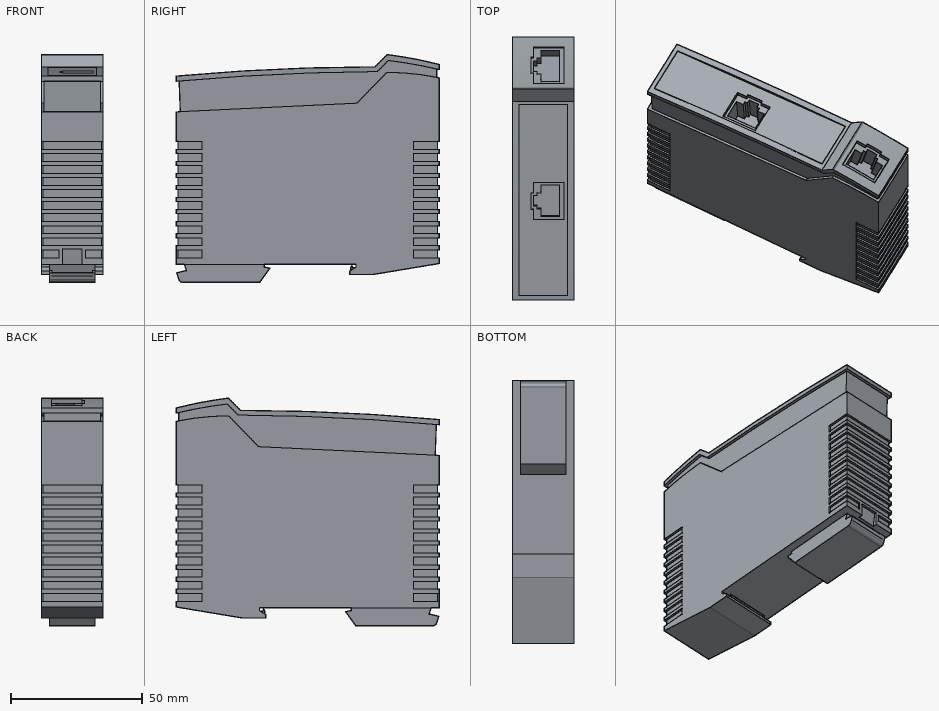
import cadquery as cq
import math

length = 100.3
width = 23.6
height = 86.7
front = -length / 2
rear = length / 2

housing_bottom = 6.8
shoulder_front = 64.9
bend = (18.8, 68.2)
crest = (30.1, 79.9)
shoulder_rear = 77.8
belly_start = 7.1
hook_start = 24.9
hook_bottom = 2.9
hook_face = (15.9, 4.2)
hook_tip = (16.9, 6.5)
hook_neck_front = 16.3
hook_neck_rear = 17.1
hook_neck_bottom = 4.6
hook_neck_top = 5.6
notch_floor = (18.4, 5.8)

cover_inset = 1.0
cover_front_top = -49.0
cover_front_bottom = -48.5
peak_front = (30.2, height)
peak_rear = (30.7, height)
valley = (25.6, 82.0)
lip_front = 78.5
lip_rear = 82.9
lip_thickness = 2.0
lip_peak_under = (30.7, 84.5)
lip_valley_under = (26.5, 80.2)
lip_sag = 0.3
roof_run = valley[0] - front
roof_drop = valley[1] - lip_front
roof_radius = (roof_run**2 + roof_drop**2) / (2 * roof_drop)

label_width = 18.6
label_rear = 24.3
label_front = -48.4
label_end_depth = 0.3

groove_count = 10
groove_height = 3.0
groove_depth = 0.7
groove_run = 9.8
groove_first_top = 53.7
groove_last_top = 12.3
groove_pitch = (groove_first_top - groove_last_top) / (groove_count - 1)
bridge_width = 10.0

foot_width = 17.4
foot_heel = (-16.5, 5.8)
foot_claw = (-14.3, 5.4)
foot_bottom_rear = -18.3
foot_bottom_front = -48.7
foot_bottom_radius = 1.6
latch_root = (-46.2, 4.5)
latch_top = (-47.0, housing_bottom)
tongue_tip = (-49.9, 3.6)
tongue_wall = 1.0
tongue_lip = 0.8
tongue_floor_front = 2.4
tongue_floor_back = 3.3
slot_width = 7.4
slot_top = 12.6
slot_depth_top = 0.8
slot_depth_bottom = 1.6

socket_x = 2.1
socket_width = 11.6
socket_length = 14.0
socket_depth = 1.8
tab_width = 1.0
tab_length = 6.2
cavity_depth = 12.5
cavity_left = -0.9
cavity_right = 6.1
cavity_half = 6.0
key_left = -3.7
key_half = 2.0
key_step_left = -2.3
key_step_half = 3.1
rear_socket_y = 39.3
front_socket_y = -12.4


def side_sketch():
    """Workplane whose local x is Y and local y is Z, on the middle plane."""
    return cq.Workplane("YZ")


def block(x_range, y_range, z_range):
    """Axis-aligned box between pairs of limits."""
    sizes = [limits[1] - limits[0] for limits in (x_range, y_range, z_range)]
    return cq.Workplane("XY").box(*sizes, centered=False).translate((x_range[0], y_range[0], z_range[0]))


def roof_point(y, drop=0.0):
    """Point on the long roof arc, level where the arc leaves the valley."""
    fall = roof_radius - math.sqrt(roof_radius**2 - (valley[0] - y) ** 2)
    return (y, valley[1] - fall - drop)


def bulged_middle(start, end, sag):
    """Middle of a shallow arc that bulges upward by sag."""
    return ((start[0] + end[0]) / 2, (start[1] + end[1]) / 2 + sag)


def make_housing():
    run = rear - crest[0]
    drop = crest[1] - shoulder_rear
    crest_radius = (run**2 + drop**2) / (2 * drop)
    middle_y = (rear + crest[0]) / 2
    middle_z = crest[1] - crest_radius + math.sqrt(crest_radius**2 - (run / 2) ** 2)
    return (
        side_sketch()
        .moveTo(front, housing_bottom)
        .lineTo(front, shoulder_front)
        .lineTo(*bend)
        .lineTo(*crest)
        .threePointArc((middle_y, middle_z), (rear, shoulder_rear))
        .lineTo(rear, belly_start)
        .lineTo(hook_start, hook_bottom)
        .lineTo(hook_face[0], hook_bottom)
        .lineTo(*hook_face)
        .lineTo(*notch_floor)
        .lineTo(notch_floor[0], housing_bottom)
        .close()
        .extrude(width / 2, both=True)
    )


def make_hook_tip():
    """Upturned tip that keeps the rail edge in the notch, as wide as the foot."""
    return (
        side_sketch()
        .moveTo(hook_face[0], hook_bottom)
        .lineTo(*hook_face)
        .lineTo(hook_neck_front, hook_neck_bottom)
        .lineTo(hook_neck_front, hook_neck_top)
        .lineTo(*hook_tip)
        .lineTo(hook_neck_rear, hook_neck_top)
        .lineTo(notch_floor[0], hook_neck_top)
        .lineTo(notch_floor[0], hook_bottom)
        .close()
        .extrude(foot_width / 2, both=True)
    )


def make_lip():
    rear_under = (rear, lip_rear - lip_thickness)
    roof_middle = (front + valley[0]) / 2
    roof_under_middle = (front + lip_valley_under[0]) / 2
    return (
        side_sketch()
        .moveTo(front, lip_front)
        .threePointArc(roof_point(roof_middle), valley)
        .lineTo(*peak_front)
        .lineTo(*peak_rear)
        .threePointArc(bulged_middle(peak_rear, (rear, lip_rear), lip_sag), (rear, lip_rear))
        .lineTo(*rear_under)
        .threePointArc(bulged_middle(rear_under, lip_peak_under, lip_sag), lip_peak_under)
        .lineTo(*lip_valley_under)
        .threePointArc(roof_point(roof_under_middle, lip_thickness), (front, lip_front - lip_thickness))
        .close()
        .extrude(width / 2, both=True)
    )


def make_cover():
    bury = lip_thickness / 2
    return (
        side_sketch()
        .moveTo(cover_front_bottom, shoulder_front - bury)
        .lineTo(cover_front_top, lip_front - bury)
        .threePointArc(roof_point(front / 2, bury), (valley[0], valley[1] - bury))
        .lineTo(peak_front[0], peak_front[1] - bury)
        .lineTo(rear - cover_inset, lip_rear - bury)
        .lineTo(rear - cover_inset, shoulder_front - bury)
        .close()
        .extrude(width / 2 - cover_inset, both=True)
    )


def make_foot():
    foot = (
        side_sketch()
        .moveTo(foot_heel[0], housing_bottom)
        .lineTo(*foot_heel)
        .lineTo(*foot_claw)
        .lineTo(foot_bottom_rear, 0)
        .lineTo(foot_bottom_front, 0)
        .lineTo(*tongue_tip)
        .lineTo(*latch_root)
        .lineTo(*latch_top)
        .close()
        .extrude(foot_width / 2, both=True)
        .edges("|X and <Z")
        .edges("<Y")
        .fillet(foot_bottom_radius)
    )
    latch_lean = (latch_root[0] - latch_top[0]) / (latch_top[1] - latch_root[1])
    pocket_back = latch_root[0] + latch_lean * (latch_root[1] - tongue_floor_back)
    pocket_front = tongue_tip[0] + tongue_lip
    pocket = (
        side_sketch()
        .moveTo(pocket_front, latch_root[1])
        .lineTo(*latch_root)
        .lineTo(pocket_back, tongue_floor_back)
        .lineTo(pocket_front, tongue_floor_front)
        .close()
        .extrude(foot_width / 2 - tongue_wall, both=True)
    )
    return foot.cut(pocket)


def cut_grooves(body):
    """Horizontal grooves round both ends, leaving the core of the housing whole."""
    side = width / 2
    bridge = bridge_width / 2
    core = block(
        (groove_depth - side, side - groove_depth),
        (front + groove_depth, rear - groove_depth),
        (0, height),
    )
    end_runs = ((front, front + groove_run), (rear - groove_run, rear))
    for index in range(groove_count):
        top = groove_first_top - index * groove_pitch
        levels = (top - groove_height, top)
        for run in end_runs:
            body = body.cut(block((-side, side), run, levels).cut(core))
    return body.union(block((-bridge, bridge), end_runs[0], levels))


def cut_finger_slot(body):
    slot = (
        side_sketch()
        .moveTo(front, housing_bottom)
        .lineTo(front, slot_top)
        .lineTo(front + slot_depth_top, slot_top)
        .lineTo(front + slot_depth_bottom, housing_bottom)
        .close()
        .extrude(slot_width / 2, both=True)
    )
    return body.cut(slot)


def cut_label(body):
    """Flat-floored recess, so it is deepest halfway along the arched roof."""
    recess = (
        side_sketch()
        .moveTo(*label_floor_front)
        .lineTo(*label_floor_rear)
        .lineTo(label_rear, height)
        .lineTo(label_front, height)
        .close()
        .extrude(label_width / 2, both=True)
    )
    return body.cut(recess)


def cut_socket(body, y, z, slope):
    """Network socket square to a surface that rises at slope toward +Y."""
    surface = cq.Plane(
        origin=(0, y, z),
        xDir=(1, 0, 0),
        normal=(0, -math.sin(slope), math.cos(slope)),
    )
    overshoot = 0.5
    mouth_plane = cq.Workplane(surface).workplane(offset=overshoot)
    mouth_depth = socket_depth + overshoot
    mouth = mouth_plane.center(socket_x, 0).rect(socket_width, socket_length).extrude(-mouth_depth)
    tab_x = socket_x - socket_width / 2
    tab = mouth_plane.center(tab_x, 0).rect(2 * tab_width, tab_length).extrude(-mouth_depth)
    cavity = (
        cq.Workplane(surface)
        .moveTo(cavity_right, -cavity_half)
        .lineTo(cavity_right, cavity_half)
        .lineTo(cavity_left, cavity_half)
        .lineTo(cavity_left, key_step_half)
        .lineTo(key_step_left, key_step_half)
        .lineTo(key_step_left, key_half)
        .lineTo(key_left, key_half)
        .lineTo(key_left, -key_half)
        .lineTo(key_step_left, -key_half)
        .lineTo(key_step_left, -key_step_half)
        .lineTo(cavity_left, -key_step_half)
        .lineTo(cavity_left, -cavity_half)
        .close()
        .extrude(-cavity_depth)
    )
    return body.cut(mouth).cut(tab).cut(cavity)


label_floor_front = roof_point(label_front, label_end_depth)
label_floor_rear = roof_point(label_rear, label_end_depth)

housing = cut_finger_slot(cut_grooves(make_housing()))
body = housing.union(make_hook_tip()).union(make_cover()).union(make_lip()).union(make_foot())
body = cut_label(body)

rear_slope = math.atan2(lip_rear - peak_rear[1], rear - peak_rear[0])
rear_surface = bulged_middle(peak_rear, (rear, lip_rear), lip_sag)[1]
body = cut_socket(body, rear_socket_y, rear_surface, rear_slope)

front_slope = math.atan2(
    label_floor_rear[1] - label_floor_front[1], label_floor_rear[0] - label_floor_front[0]
)
front_surface = label_floor_front[1] + (front_socket_y - label_floor_front[0]) * math.tan(front_slope)
result = cut_socket(body, front_socket_y, front_surface, front_slope)